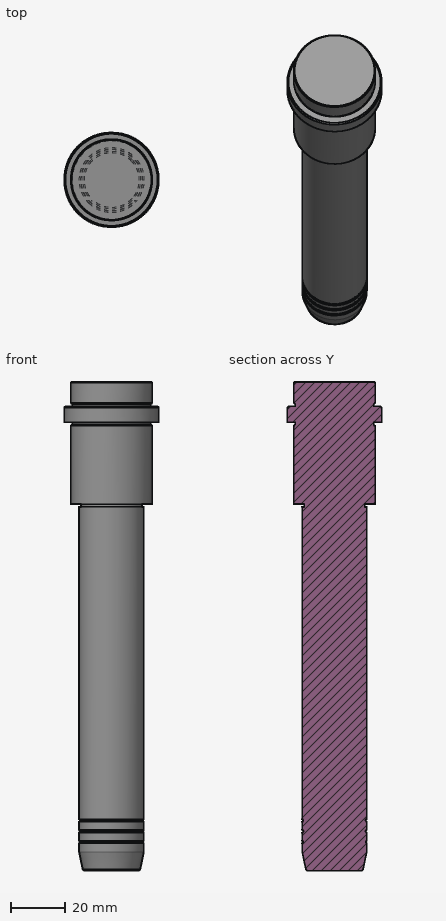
import cadquery as cq

total_length = 180.0
head_diameter = 30.0
collar_diameter = 35.0
shank_diameter = 24.0

head_bottom = 135.0
collar_bottom = 165.0
collar_top = 171.0
tip_height = 7.0

collar_relief_width = 1.3
collar_relief_flat = 0.7
collar_relief_depth = 0.5
collar_chamfer = 0.5
head_chamfer = 0.4
neck_width = 1.0
neck_diameter = 22.5

ring_count = 3
first_ring_height = 10.0
ring_pitch = 4.0
ring_width = 1.0
ring_depth = 0.5

tip_diameter = 21.2
tip_chamfer = 0.5


def cylinder(diameter, bottom, top):
    """Solid cylinder on the Z axis between two heights."""
    return cq.Workplane("XY").workplane(offset=bottom).circle(diameter / 2).extrude(top - bottom)


def v_groove(diameter, depth, bottom, width):
    """V-section ring of material to remove from a cylinder of the given diameter."""
    radius = diameter / 2
    return (
        cq.Workplane("XZ")
        .moveTo(radius, bottom)
        .lineTo(radius - depth, bottom + width / 2)
        .lineTo(radius, bottom + width)
        .close()
        .revolve(360, (0, 0, 0), (0, 1, 0))
    )


def make_head():
    """Revolve the head, with a slope-sided relief on each side of the collar."""
    head_radius = head_diameter / 2
    relief_radius = head_radius - collar_relief_depth
    return (
        cq.Workplane("XZ")
        .moveTo(0, head_bottom)
        .lineTo(head_radius, head_bottom)
        .lineTo(head_radius, collar_bottom - collar_relief_width)
        .lineTo(relief_radius, collar_bottom - collar_relief_flat)
        .lineTo(relief_radius, collar_top + collar_relief_flat)
        .lineTo(head_radius, collar_top + collar_relief_width)
        .lineTo(head_radius, total_length - head_chamfer)
        .lineTo(head_radius - head_chamfer, total_length)
        .lineTo(0, total_length)
        .close()
        .revolve(360, (0, 0, 0), (0, 1, 0))
    )


def make_tip():
    """Revolve the tapered lead-in and its chamfered end."""
    shank_radius = shank_diameter / 2
    end_radius = tip_diameter / 2
    return (
        cq.Workplane("XZ")
        .lineTo(end_radius - tip_chamfer, 0)
        .lineTo(end_radius, tip_chamfer)
        .lineTo(shank_radius, tip_height)
        .lineTo(0, tip_height)
        .close()
        .revolve(360, (0, 0, 0), (0, 1, 0))
    )


head = make_head()
collar = cylinder(collar_diameter, collar_bottom, collar_top).faces(">Z").edges().chamfer(collar_chamfer)

shank_top = head_bottom - neck_width
shank = cylinder(shank_diameter, tip_height, shank_top)
for index in range(ring_count):
    ring_bottom = first_ring_height + index * ring_pitch
    shank = shank.cut(v_groove(shank_diameter, ring_depth, ring_bottom, ring_width))
neck = cylinder(neck_diameter, shank_top, head_bottom)

result = make_tip().union(shank).union(neck).union(head).union(collar)